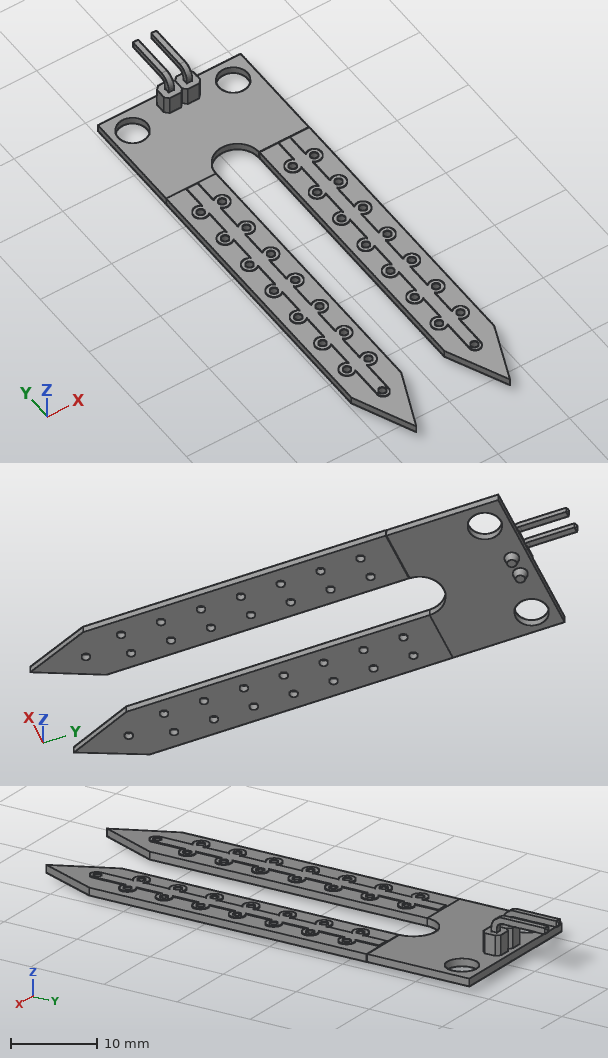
import cadquery as cq


board_thickness = 1.0
head_width = 20.0
head_length = 14.0
slot_radius = 3.0
mount_hole_diameter = 4.0
mount_hole_y = -2.95
left_mount_hole_x = -7.15
right_mount_hole_x = 6.95

board_length = 60.0
leg_width = (head_width - 2 * slot_radius) / 2
leg_point_length = 8.0
leg_straight_end = -(board_length - leg_point_length)
leg_center = slot_radius + leg_width / 2
right_leg_shift = 0.03
right_leg_gap = 0.08
left_point_shift = 0.15
right_point_shift = 0.25

trace_thickness = 0.13
trace_width = 1.6
trace_start = -(head_length + 0.1)
trace_end_center = -53.3
end_via_y = -53.15
left_trace_x = -6.45
right_trace_x = 6.45
pad_diameter = 2.0
via_diameter = 1.0
via_rows = 7
via_row_pitch = 5.0
first_via_row = -18.1
via_column_spacing = 3.0

pin_pitch = 2.54
pin_size = 0.76
pin_y = -1.92
pin_overhang = 5.22
pin_top = 5.51
pin_bend_radius = 1.14
pin_tip_chamfer = 0.2
housing_width = pin_pitch
housing_depth = 2.4
housing_height = 2.54
housing_chamfer = 0.48
solder_height = 0.95
solder_top_diameter = 1.75
solder_bottom_diameter = 1.1

pin_positions = [-pin_pitch / 2, pin_pitch / 2]


def make_head():
    """Rectangular plate with the rounded slot end, mounting holes and pin holes."""
    plate = cq.Workplane("XY").rect(head_width, head_length).extrude(board_thickness)
    plate = plate.translate((0, -head_length / 2, 0))
    slot_end = cq.Workplane("XY").center(0, -head_length).circle(slot_radius).extrude(board_thickness)
    mount_holes = (
        cq.Workplane("XY")
        .pushPoints([(left_mount_hole_x, mount_hole_y), (right_mount_hole_x, mount_hole_y)])
        .circle(mount_hole_diameter / 2)
        .extrude(board_thickness)
    )
    pin_holes = (
        cq.Workplane("XY")
        .pushPoints([(x, pin_y) for x in pin_positions])
        .rect(pin_size, pin_size)
        .extrude(board_thickness)
    )
    return plate.cut(slot_end).cut(mount_holes).cut(pin_holes)


def via_points(trace_x):
    """Two columns of holes beside the trace."""
    return [
        (trace_x + side * via_column_spacing / 2, first_via_row - row * via_row_pitch)
        for row in range(via_rows)
        for side in (-1, 1)
    ]


def make_via_holes(trace_x):
    """Drills for both columns and for the hole in the rounded end of the trace."""
    return (
        cq.Workplane("XY")
        .pushPoints(via_points(trace_x) + [(trace_x, end_via_y)])
        .circle(via_diameter / 2)
        .extrude(board_thickness + trace_thickness)
    )


def make_leg(center_x, start_y, point_shift, trace_x):
    """Flat leg that ends in a point, drilled along its trace."""
    half_width = leg_width / 2
    leg = (
        cq.Workplane("XY")
        .moveTo(center_x - half_width, start_y)
        .lineTo(center_x + half_width, start_y)
        .lineTo(center_x + half_width, leg_straight_end)
        .lineTo(center_x + point_shift, -board_length)
        .lineTo(center_x - half_width, leg_straight_end)
        .close()
        .extrude(board_thickness)
    )
    return leg.cut(make_via_holes(trace_x))


def make_trace(trace_x):
    """Thin raised strip with a rounded end and a round pad at every hole."""
    half_width = trace_width / 2
    top_of_board = cq.Workplane("XY").workplane(offset=board_thickness)
    strip = (
        top_of_board.moveTo(trace_x - half_width, trace_start)
        .lineTo(trace_x - half_width, trace_end_center)
        .threePointArc((trace_x, trace_end_center - half_width), (trace_x + half_width, trace_end_center))
        .lineTo(trace_x + half_width, trace_start)
        .close()
        .extrude(trace_thickness)
    )
    pads = top_of_board.pushPoints(via_points(trace_x)).circle(pad_diameter / 2).extrude(trace_thickness)
    return strip.union(pads).cut(make_via_holes(trace_x))


def make_housing(x):
    """Octagonal plastic block with a square bore for the pin."""
    return (
        cq.Workplane("XY")
        .workplane(offset=board_thickness)
        .center(x, pin_y)
        .rect(housing_width, housing_depth)
        .extrude(housing_height)
        .edges("|Z")
        .chamfer(housing_chamfer)
        .faces(">Z")
        .workplane()
        .rect(pin_size, pin_size)
        .cutThruAll()
    )


def make_pin(x):
    """Square wire bent toward the rear, with a solder cone under the board."""
    pin_axis_z = pin_top - pin_size / 2
    path = (
        cq.Workplane("YZ", origin=(x, 0, 0))
        .moveTo(pin_y, 0)
        .lineTo(pin_y, pin_axis_z - pin_bend_radius)
        .radiusArc((pin_y + pin_bend_radius, pin_axis_z), pin_bend_radius)
        .lineTo(pin_overhang, pin_axis_z)
    )
    wire = cq.Workplane("XY", origin=(x, pin_y, 0)).rect(pin_size, pin_size).sweep(path)
    wire = wire.faces(">Y").chamfer(pin_tip_chamfer)
    solder = (
        cq.Workplane("XY", origin=(x, pin_y, -solder_height))
        .circle(solder_bottom_diameter / 2)
        .workplane(offset=solder_height)
        .circle(solder_top_diameter / 2)
        .loft()
    )
    return wire.union(solder)


head = make_head()
legs = [
    make_leg(-leg_center, -head_length, left_point_shift, left_trace_x),
    make_leg(leg_center + right_leg_shift, -(head_length + right_leg_gap), right_point_shift, right_trace_x),
]
traces = [make_trace(x) for x in (left_trace_x, right_trace_x)]
housings = [make_housing(x) for x in pin_positions]
pins = [make_pin(x) for x in pin_positions]

bodies = [head, *legs, *traces, *housings, *pins]
result = cq.Compound.makeCompound([body.val() for body in bodies])